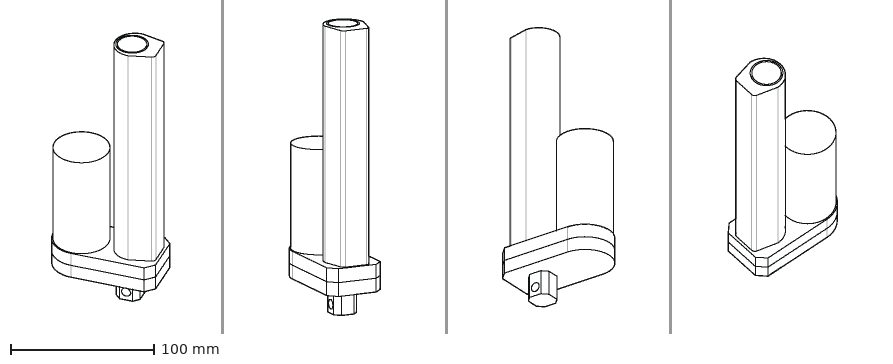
import cadquery as cq
import math

total_height = 208.0
gearbox_length = 81.3
gearbox_width = 41.8
gearbox_end_chamfer = 6.2
gearbox_end_x = gearbox_length - gearbox_width / 2

clevis_height = 18.0
plate_thickness = 10.0
motor_height = 75.7
split_z = clevis_height + plate_thickness
gearbox_top_z = split_z + plate_thickness
tube_height = total_height - gearbox_top_z

motor_diameter = 40.0

tube_x = 40.0
tube_radius = 15.0
tube_flat_x = 58.2
tube_flat_half_width = 10.5
tube_corner_radius = 3.0

rod_x = 37.6
rod_diameter = 22.9
rod_bore_diameter = 20.5
rod_cone_angle = 118.0
rod_floor = 10.0

clevis_x = 36.5
clevis_size = 17.9
clevis_chamfer = 4.2
clevis_hole_diameter = 6.7
clevis_hole_z = 6.7


def gearbox_plate(bottom_z):
    """Plate with one round end and two chamfered corners."""
    radius = gearbox_width / 2
    return (
        cq.Workplane("XY", origin=(0, 0, bottom_z))
        .moveTo(0, radius)
        .threePointArc((-radius, 0), (0, -radius))
        .lineTo(gearbox_end_x - gearbox_end_chamfer, -radius)
        .lineTo(gearbox_end_x, gearbox_end_chamfer - radius)
        .lineTo(gearbox_end_x, radius - gearbox_end_chamfer)
        .lineTo(gearbox_end_x - gearbox_end_chamfer, radius)
        .close()
        .extrude(plate_thickness)
    )


def outer_tube():
    """Solid outline of the tube, before the rod hole is cut."""
    return (
        cq.Workplane("XY", origin=(0, 0, gearbox_top_z))
        .moveTo(tube_x, tube_radius)
        .threePointArc((tube_x - tube_radius, 0), (tube_x, -tube_radius))
        .lineTo(tube_flat_x, -tube_flat_half_width)
        .lineTo(tube_flat_x, tube_flat_half_width)
        .close()
        .extrude(tube_height)
        .edges("|Z and >X")
        .fillet(tube_corner_radius)
    )


def rod_blank():
    """Solid cylinder that fills the rod hole."""
    return (
        cq.Workplane("XY", origin=(rod_x, 0, gearbox_top_z))
        .circle(rod_diameter / 2)
        .extrude(tube_height)
    )


def make_upper_housing():
    """Upper gearbox half with the motor can and the outer tube."""
    motor = (
        cq.Workplane("XY", origin=(0, 0, gearbox_top_z))
        .circle(motor_diameter / 2)
        .extrude(motor_height)
    )
    return gearbox_plate(split_z).union(motor).union(outer_tube()).cut(rod_blank())


def make_lower_housing():
    """Lower gearbox half with the mounting clevis."""
    clevis = (
        cq.Workplane("XY", origin=(clevis_x, 0, 0))
        .rect(clevis_size, clevis_size)
        .extrude(clevis_height)
        .edges("|Z")
        .chamfer(clevis_chamfer)
    )
    cross_hole = (
        cq.Workplane("XZ", origin=(clevis_x, 0, clevis_hole_z))
        .circle(clevis_hole_diameter / 2)
        .extrude(clevis_size, both=True)
    )
    return gearbox_plate(clevis_height).union(clevis.cut(cross_hole))


def make_rod():
    """Rod with a blind bore that ends in a cone."""
    bore_radius = rod_bore_diameter / 2
    cone_depth = bore_radius / math.tan(math.radians(rod_cone_angle / 2))
    cone_tip_z = gearbox_top_z + rod_floor
    bore = (
        cq.Workplane("XZ", origin=(rod_x, 0, 0))
        .moveTo(0, cone_tip_z)
        .lineTo(bore_radius, cone_tip_z + cone_depth)
        .lineTo(bore_radius, total_height)
        .lineTo(0, total_height)
        .close()
        .revolve(360, (0, 0, 0), (0, 1, 0))
    )
    return rod_blank().cut(bore)


upper_housing = make_upper_housing()
lower_housing = make_lower_housing()
rod = make_rod()

result = cq.Compound.makeCompound([upper_housing.val(), lower_housing.val(), rod.val()])